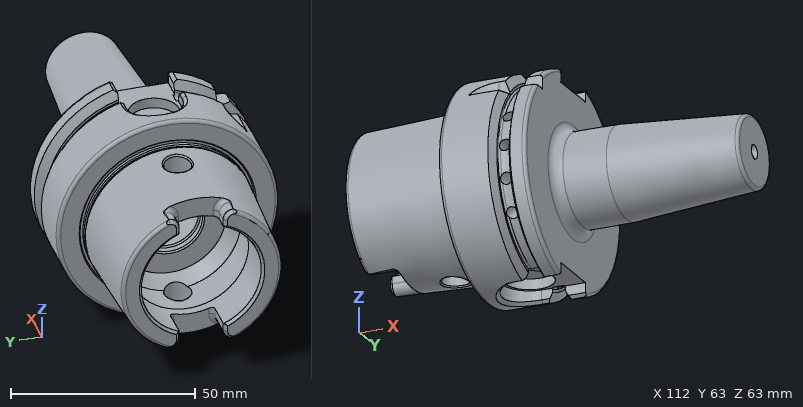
import cadquery as cq
import math


total_length = 112.0
taper_end = 30.0
flange_start = 31.9
flange_end = 57.9
neck_cone_start = 73.9

shank_end_radius = 22.7
shank_big_radius = 24.1
relief_radius = 23.7
relief_step = 0.3
relief_width = 0.6
face_recess_radius = 24.9
face_recess_depth = 0.3
flange_radius = 31.5
neck_radius = 13.5
tip_radius = 10.6

edge_radius = 1.0
neck_fillet = 3.0

groove_start = 48.2
groove_end = 51.9
groove_floor_radius = 27.4
groove_lip_radius = 28.8
groove_lip_width = 1.5
groove_floor_fillet = 0.6

bore_mouth_radius = 17.8
bore_radius = 17.0
clamp_lip_end = 12.7
clamp_recess_start = 13.4
clamp_recess_end = 24.6
clamp_recess_radius = 18.5
bore_floor_radius = 15.7
bore_floor = 29.1
socket_radius = 8.6
socket_floor = 42.6
socket_chamfer = 0.5
socket_mouth_depth = 2.2
coolant_radius = 2.0
coolant_chamfer = 0.5

slot_half_width = 6.3
slot_flare_radius = 2.8
slot_flare_height = 20.8
slot_floor_fillet = 1.3
slot_mouth_bevel = 1.0
slot_base_height = 9.0
slot_clear_half_width = 13.4
top_slot_depth = 5.8
bottom_slot_depth = 10.0

cross_hole_x = 22.7
cross_hole_radius = 3.8
cross_hole_chamfer = 0.5

keyway_x = 44.8
keyway_half_width = 8.0
keyway_floor = 26.4
keyway_chamfer = 1.1
recess_radius = 7.0
recess_depth = 3.1

notch_offset = 20.0
notch_end_radius = 8.0

balance_hole_radius = 1.7
balance_hole_depth = 15.7
drill_tip_angle = 118.0
balance_hole_first_angle = -35.0
balance_hole_step = 20.0
balance_hole_count = 4

overlap = 1.1
reach = 2 * flange_radius
pick_margin = 0.1


def turned_body():
    relief_start = taper_end + relief_step
    groove_lip_start = groove_start - groove_lip_width
    groove_lip_end = groove_end + groove_lip_width
    profile = (
        cq.Workplane("XY")
        .moveTo(0, 0)
        .lineTo(0, shank_end_radius - edge_radius)
        .radiusArc((edge_radius, shank_end_radius), edge_radius)
        .lineTo(taper_end, shank_big_radius)
        .lineTo(relief_start, relief_radius)
        .lineTo(relief_start + relief_width, relief_radius)
        .lineTo(relief_start + relief_width + relief_step, shank_big_radius)
        .lineTo(flange_start + face_recess_depth, shank_big_radius)
        .lineTo(flange_start + face_recess_depth, face_recess_radius)
        .lineTo(flange_start, face_recess_radius + face_recess_depth)
        .lineTo(flange_start, flange_radius - edge_radius)
        .radiusArc((flange_start + edge_radius, flange_radius), edge_radius)
        .lineTo(groove_lip_start, flange_radius)
        .lineTo(groove_start, groove_lip_radius)
        .lineTo(groove_start, groove_floor_radius + groove_floor_fillet)
        .radiusArc((groove_start + groove_floor_fillet, groove_floor_radius), -groove_floor_fillet)
        .lineTo(groove_end - groove_floor_fillet, groove_floor_radius)
        .radiusArc((groove_end, groove_floor_radius + groove_floor_fillet), -groove_floor_fillet)
        .lineTo(groove_end, groove_lip_radius)
        .lineTo(groove_lip_end, flange_radius)
        .lineTo(flange_end, flange_radius)
        .lineTo(flange_end, neck_radius + neck_fillet)
        .radiusArc((flange_end + neck_fillet, neck_radius), -neck_fillet)
        .lineTo(neck_cone_start, neck_radius)
        .lineTo(total_length, tip_radius)
        .lineTo(total_length, 0)
        .close()
    )
    body = profile.revolve(360, (0, 0, 0), (1, 0, 0))
    return body.faces(">X").edges().fillet(edge_radius)


def flange_end_rounding():
    profile = (
        cq.Workplane("XY")
        .moveTo(flange_end - edge_radius, flange_radius)
        .radiusArc((flange_end, flange_radius - edge_radius), edge_radius)
        .lineTo(flange_end + overlap, flange_radius - edge_radius)
        .lineTo(flange_end + overlap, flange_radius + overlap)
        .lineTo(flange_end - edge_radius, flange_radius + overlap)
        .close()
    )
    return profile.revolve(360, (0, 0, 0), (1, 0, 0))


def bore():
    profile = (
        cq.Workplane("XY")
        .moveTo(0, 0)
        .lineTo(0, bore_mouth_radius)
        .lineTo(bore_mouth_radius - bore_radius, bore_radius)
        .lineTo(clamp_lip_end, bore_radius)
        .lineTo(clamp_recess_start, clamp_recess_radius)
        .lineTo(clamp_recess_end, clamp_recess_radius)
        .lineTo(bore_floor, bore_floor_radius)
        .lineTo(bore_floor, socket_radius + 2 * socket_chamfer)
        .lineTo(bore_floor + socket_chamfer, socket_radius + socket_chamfer)
        .lineTo(bore_floor + socket_mouth_depth, socket_radius + socket_chamfer)
        .lineTo(bore_floor + socket_mouth_depth + socket_chamfer, socket_radius)
        .lineTo(socket_floor, socket_radius)
        .lineTo(socket_floor, coolant_radius + coolant_chamfer)
        .lineTo(socket_floor + coolant_chamfer, coolant_radius)
        .lineTo(total_length, coolant_radius)
        .lineTo(total_length, 0)
        .close()
    )
    return profile.revolve(360, (0, 0, 0), (1, 0, 0))


def slot_outline(plane_x):
    flare_start = slot_flare_height - slot_flare_radius
    flare_edge = slot_half_width + slot_flare_radius
    return (
        cq.Workplane("YZ", origin=(plane_x, 0, 0))
        .moveTo(-slot_half_width, slot_base_height)
        .lineTo(slot_half_width, slot_base_height)
        .lineTo(slot_half_width, flare_start)
        .radiusArc((flare_edge, slot_flare_height), slot_flare_radius)
        .lineTo(slot_clear_half_width, slot_flare_height)
        .lineTo(slot_clear_half_width, flange_radius)
        .lineTo(-slot_clear_half_width, flange_radius)
        .lineTo(-slot_clear_half_width, slot_flare_height)
        .lineTo(-flare_edge, slot_flare_height)
        .radiusArc((-slot_half_width, flare_start), slot_flare_radius)
        .close()
    )


def drive_slot(depth):
    slot = slot_outline(-overlap).extrude(depth + overlap)
    slot = slot.faces(">X").edges("not(>Z or <Z)").fillet(slot_floor_fillet)
    mouth = slot_outline(slot_mouth_bevel).extrude(-slot_mouth_bevel - overlap, taper=-45)
    return slot.union(mouth)


def cross_hole():
    hole = cq.Workplane("XY").center(cross_hole_x, 0).circle(cross_hole_radius)
    return hole.extrude(reach, both=True)


def keyway():
    floor = cq.Workplane("XY", origin=(keyway_x, 0, keyway_floor))
    round_end = floor.circle(keyway_half_width).extrude(reach)
    run_out = floor.center(reach / 2, 0).rect(reach, 2 * keyway_half_width).extrude(reach)
    recess = floor.circle(recess_radius).extrude(-recess_depth)
    return round_end.union(run_out).union(recess)


def corner_notch():
    corner = cq.Workplane("XY", origin=(keyway_x, -notch_offset, notch_offset))
    straight = corner.center(reach / 2, -reach / 2).rect(reach, reach).extrude(reach)
    round_end = corner.center(0, -notch_end_radius).circle(notch_end_radius).extrude(reach)
    return straight.union(round_end)


def balance_hole(angle):
    tip_length = balance_hole_radius / math.tan(math.radians(drill_tip_angle / 2))
    bottom = groove_floor_radius - balance_hole_depth
    profile = (
        cq.Workplane("XY", origin=((groove_start + groove_end) / 2, 0, 0))
        .moveTo(0, -bottom + tip_length)
        .lineTo(balance_hole_radius, -bottom)
        .lineTo(balance_hole_radius, -groove_floor_radius - overlap)
        .lineTo(0, -groove_floor_radius - overlap)
        .close()
    )
    hole = profile.revolve(360, (0, 0, 0), (0, 1, 0))
    return hole.rotate((0, 0, 0), (1, 0, 0), -angle)


def keyway_rims(side):
    rim_height = math.sqrt(flange_radius**2 - keyway_half_width**2)
    half_width = keyway_half_width + pick_margin
    low = (flange_start, -half_width, side * (rim_height - pick_margin))
    high = (flange_end, half_width, side * reach)
    return cq.selectors.BoxSelector(low, high)


def cross_hole_rim(side):
    low = (cross_hole_x - overlap, -overlap, side * shank_end_radius)
    high = (cross_hole_x + overlap, overlap, side * flange_radius)
    return cq.selectors.BoxSelector(low, high)


body = turned_body().cut(bore())

body = body.cut(drive_slot(top_slot_depth))
body = body.cut(drive_slot(bottom_slot_depth).mirror("XY"))

body = body.cut(cross_hole()).cut(keyway()).cut(keyway().mirror("XY"))
for side in (1, -1):
    body = body.edges(keyway_rims(side)).chamfer(keyway_chamfer)
    body = body.edges(cross_hole_rim(side)).chamfer(cross_hole_chamfer)

body = body.cut(flange_end_rounding()).cut(corner_notch())

for index in range(balance_hole_count):
    body = body.cut(balance_hole(balance_hole_first_angle + index * balance_hole_step))

result = body